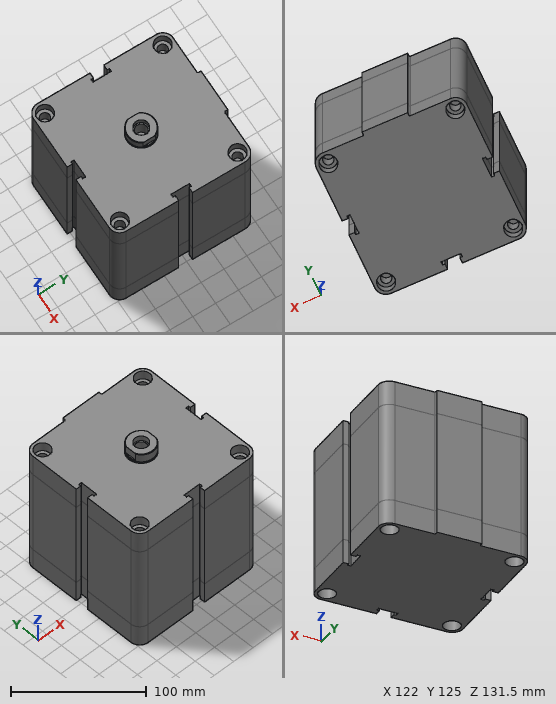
import cadquery as cq
side = 122.0
half_side = side / 2
corner_radius = 9.0
cap_height = 20.0
housing_height = 122.0
barrel_height = housing_height - 2 * cap_height

rail_width = 37.0
rail_height = 3.0
rail_foot_radius = 0.8

slot_mouth_width = 12.0
slot_head_width = 16.0
slot_mouth_depth = 4.7
slot_depth = 7.3

hole_pitch = 103.0
hole_diameter = 8.38
counterbore_diameter = 14.0
counterbore_depth = 8.5

rod_diameter = 25.0
neck_diameter = 24.5
shoulder_height = 1.5
rod_projection = 9.5
rod_seat_depth = cap_height
rod_top = housing_height + rod_projection
shoulder_chamfer = (rod_diameter - neck_diameter) / 2
rod_chamfer = 0.5
flats_width = 22.0
flats_height = 7.0
rod_hole_diameter = 10.2
rod_hole_depth = 20.0
rod_recess_diameter = 12.5
rod_recess_depth = 5.0


def make_section(base, height):
    """One level of the housing: the rounded square with the rail on its +Y side."""
    block = (
        cq.Workplane("XY", origin=(0, 0, base))
        .rect(side, side)
        .extrude(height)
        .edges("|Z")
        .fillet(corner_radius)
    )
    rail = (
        cq.Workplane("XY", origin=(0, 0, base))
        .moveTo(-rail_width / 2 - rail_foot_radius, half_side)
        .radiusArc((-rail_width / 2, half_side + rail_foot_radius), -rail_foot_radius)
        .lineTo(-rail_width / 2, half_side + rail_height)
        .lineTo(rail_width / 2, half_side + rail_height)
        .lineTo(rail_width / 2, half_side + rail_foot_radius)
        .radiusArc((rail_width / 2 + rail_foot_radius, half_side), -rail_foot_radius)
        .close()
        .extrude(height)
    )
    section = block.union(rail)
    for angle in (-90, 0, 90):
        section = section.cut(make_slot(base, height).rotate((0, 0, 0), (0, 0, 1), angle))
    return section


def make_slot(base, height):
    """T-slot cutter for the -Y side."""
    mouth = (
        cq.Workplane("XY", origin=(0, -half_side, base))
        .rect(slot_mouth_width, 2 * slot_depth)
        .extrude(height)
    )
    head = (
        cq.Workplane("XY", origin=(0, -half_side + (slot_mouth_depth + slot_depth) / 2, base))
        .rect(slot_head_width, slot_depth - slot_mouth_depth)
        .extrude(height)
    )
    return mouth.union(head)


def drill_corner_holes(body):
    for face in (">Z", "<Z"):
        body = (
            body.faces(face)
            .workplane(origin=(0, 0, 0))
            .rect(hole_pitch, hole_pitch, forConstruction=True)
            .vertices()
            .cboreHole(hole_diameter, counterbore_diameter, counterbore_depth, cap_height, clean=False)
        )
    return body


def make_housing():
    bottom_cap = make_section(0, cap_height)
    barrel = make_section(cap_height, barrel_height)
    top_cap = make_section(cap_height + barrel_height, cap_height)
    body = bottom_cap.union(barrel, clean=False).union(top_cap, clean=False)
    body = drill_corner_holes(body)
    rod_bore = (
        cq.Workplane("XY", origin=(0, 0, housing_height - rod_seat_depth))
        .circle(rod_diameter / 2)
        .extrude(rod_seat_depth)
    )
    return body.cut(rod_bore, clean=False)


def make_rod():
    body = (
        cq.Workplane("XY", origin=(0, 0, housing_height - rod_seat_depth))
        .circle(rod_diameter / 2)
        .extrude(rod_seat_depth + shoulder_height)
        .faces(">Z")
        .chamfer(shoulder_chamfer)
        .faces(">Z")
        .workplane()
        .circle(neck_diameter / 2)
        .extrude(rod_projection - shoulder_height)
        .faces(">Z")
        .chamfer(rod_chamfer)
    )
    flats_envelope = (
        cq.Workplane("XY", origin=(0, 0, rod_top - flats_height))
        .rect(2 * rod_diameter, 2 * rod_diameter)
        .rect(flats_width, 2 * rod_diameter)
        .extrude(flats_height)
    )
    body = body.cut(flats_envelope)
    return (
        body.faces(">Z")
        .workplane(origin=(0, 0, 0))
        .cboreHole(rod_hole_diameter, rod_recess_diameter, rod_recess_depth, rod_hole_depth)
    )


housing = make_housing()
rod = make_rod()

result = cq.Compound.makeCompound([housing.val(), rod.val()])